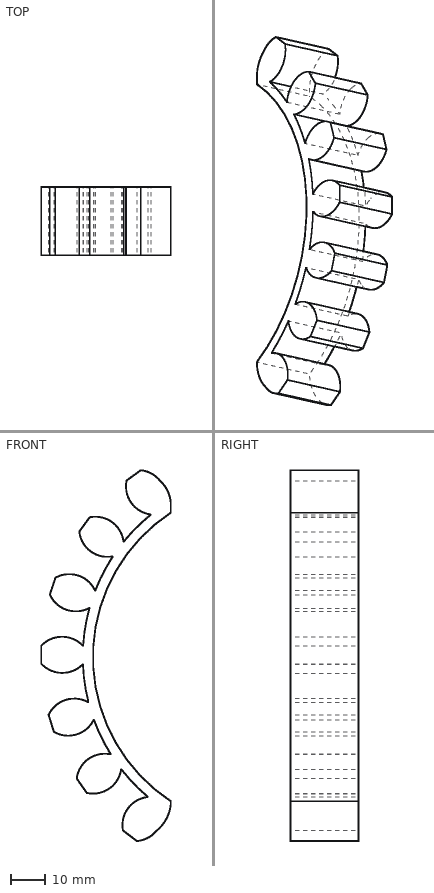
import cadquery as cq
import math

width = 20.0
rim_inner_radius = 50.6
rim_outer_radius = 53.6
rim_end_x = -27.7

tooth_count = 7
tooth_pitch = 17.8
middle_tooth_tilt = 0.6
tip_radius = 65.8
tip_half_width = 2.6
bulge_radius = 60.0
bulge_half_width = 5.3
root_half_width = 2.7

top_flank_foot = (rim_end_x, 44.0)
top_flank_middle = (-28.4, 48.0)
bottom_flank_foot = (rim_end_x, -43.1)
bottom_flank_middle = (-28.7, -46.8)


def make_rim():
    """Ring segment, cut by the rim end plane and kept inside the end flanks."""
    ring = cq.Workplane("XZ").circle(rim_outer_radius).circle(rim_inner_radius).extrude(width)
    keep_outline = [
        top_flank_foot,
        top_flank_middle,
        (-rim_outer_radius, top_flank_middle[1]),
        (-rim_outer_radius, bottom_flank_middle[1]),
        bottom_flank_middle,
        bottom_flank_foot,
    ]
    keep = cq.Workplane("XZ").polyline(keep_outline).close().extrude(width)
    return ring.intersect(keep)


def make_tooth(angle):
    """Tooth rooted inside the rim, turned up from -X by angle degrees."""
    root_radius = (rim_inner_radius + rim_outer_radius) / 2
    surface_radius = math.sqrt(rim_outer_radius**2 - root_half_width**2)
    tooth = (
        cq.Workplane("XZ")
        .moveTo(-root_radius, root_half_width)
        .lineTo(-surface_radius, root_half_width)
        .threePointArc((-bulge_radius, bulge_half_width), (-tip_radius, tip_half_width))
        .lineTo(-tip_radius, -tip_half_width)
        .threePointArc((-bulge_radius, -bulge_half_width), (-surface_radius, -root_half_width))
        .lineTo(-root_radius, -root_half_width)
        .close()
        .extrude(width)
    )
    return tooth.rotate((0, 0, 0), (0, 1, 0), angle)


def make_end_flank(tooth_angle, side, foot, middle):
    """Fill between an end tooth's outer bulge and the rim end; side is +1 at the top, -1 at the bottom."""
    bulge_angle = math.radians(side * tooth_angle) + math.atan2(bulge_half_width, bulge_radius)
    bulge_distance = math.hypot(bulge_radius, bulge_half_width)
    bulge_point = (
        -bulge_distance * math.cos(bulge_angle),
        side * bulge_distance * math.sin(bulge_angle),
    )
    tooth_angle_radians = math.radians(tooth_angle)
    tooth_core = (
        -bulge_radius * math.cos(tooth_angle_radians),
        bulge_radius * math.sin(tooth_angle_radians),
    )
    rim_corner = (rim_end_x, side * math.sqrt(rim_inner_radius**2 - rim_end_x**2))
    return (
        cq.Workplane("XZ")
        .moveTo(*rim_corner)
        .lineTo(*foot)
        .threePointArc(middle, bulge_point)
        .lineTo(*tooth_core)
        .close()
        .extrude(width)
    )


result = make_rim()
for index in range(tooth_count):
    steps_from_middle = index - (tooth_count - 1) / 2
    result = result.union(make_tooth(middle_tooth_tilt + steps_from_middle * tooth_pitch))

end_tooth_offset = (tooth_count - 1) / 2 * tooth_pitch
top_angle = middle_tooth_tilt + end_tooth_offset
bottom_angle = middle_tooth_tilt - end_tooth_offset
result = result.union(make_end_flank(top_angle, 1, top_flank_foot, top_flank_middle))
result = result.union(make_end_flank(bottom_angle, -1, bottom_flank_foot, bottom_flank_middle))